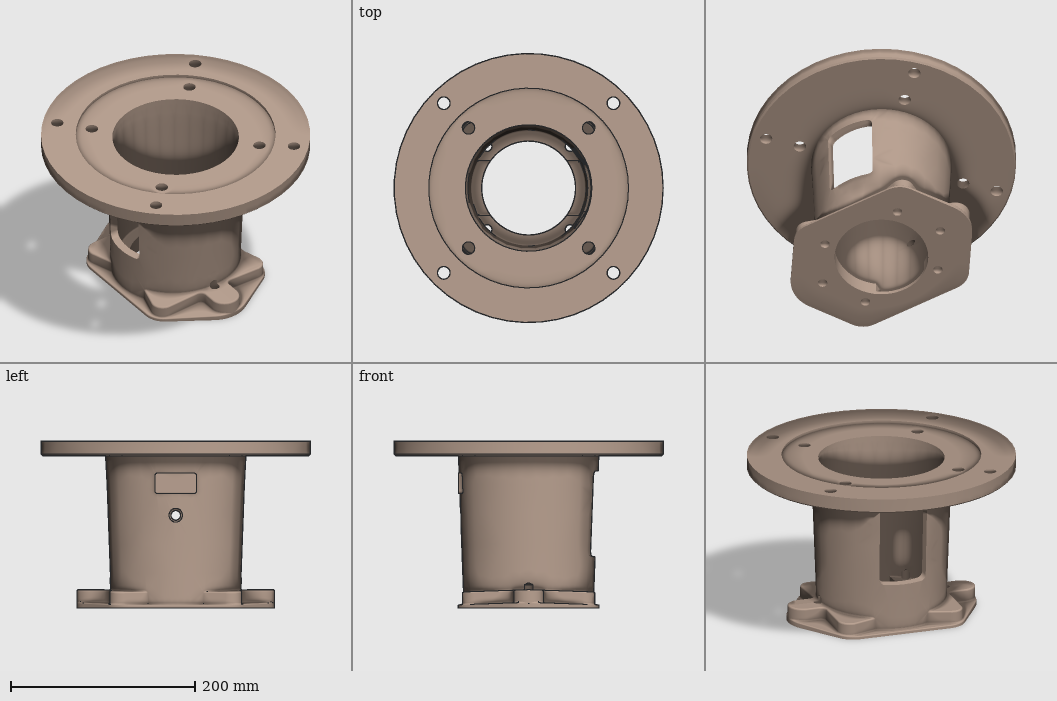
import cadquery as cq
import math

height = 181.0
flange_radius = 146.0
flange_thickness = 16.0
flange_chamfer = 1.8

recess_radius = 108.5
recess_depth = 3.5
flange_hole_radius = 6.7
inner_hole_offset = 65.0
outer_hole_offset = 92.0

tube_top_radius = 76.2
bore_top_radius = 68.5
taper = 0.037
base_bore_radius = 50.8

plate_ridge_height = 6.0
pad_ridge_height = 20.0
draft_slope = 0.035
plate_half_length = 107.2
plate_half_width = 76.5
ear_radius = 38.0
corner_radius = 25.0
corner_y = 51.5

pad_edge_y = 71.5
pad_inner_y = 29.8
pad_inner_x = 60.0
pad_side_end_y = 27.0
pad_corner_x = 58.7
pad_corner_radius = 13.0
pad_side_angle = math.radians(17)
finger_half_width = 16.0
finger_fillet = 6.0
pad_edge_fillet = 1.8
root_fillet = 1.5
plate_edge_fillet = 1.2
pad_foot_reach = 99.3

tap_radius = 5.1
tap_depth = 25.0
tap_tip_angle = 118
tap_tip = tap_radius / math.tan(math.radians(tap_tip_angle / 2))
tap_square_offset = 45.0
tap_axis_offset = 73.0

side_hole_z = 100.5
side_hole_radius = 5.1
side_hole_mouth_radius = 7.5
nameplate_x = -76.2
nameplate_width = 45.0
nameplate_bottom = 124.0
nameplate_height = 22.2
nameplate_corner = 2.5
nameplate_edge = 1.0
nameplate_depth = 8.8
window_width = 53.7
window_bottom = 56.0
window_top = 147.8
window_corner = 5.8
window_draft = 9.0
window_plane_x = 68.5
window_overlap = 14.5

tolerance = 0.03

flange_bottom = height - flange_thickness
recess_floor = height - recess_depth


def tube_radius(z):
    return tube_top_radius - taper * (flange_bottom - z)


def bore_radius(z):
    return bore_top_radius - taper * (recess_floor - z)


def cone(lower_z, upper_z, radius_at):
    """Solid of revolution about Z between two heights, with a straight side."""
    profile = [(0, lower_z), (radius_at(lower_z), lower_z), (radius_at(upper_z), upper_z), (0, upper_z)]
    return cq.Workplane("XZ").polyline(profile).close().revolve(360, (0, 0, 0), (0, 1, 0))


def drafted_plate(outline, ridge_height):
    """Extrude an outline and slope its upper face down on both sides of x = 0."""
    reach = flange_radius
    eave = ridge_height - draft_slope * reach
    roof = (
        cq.Workplane("XZ")
        .polyline([(-reach, 0), (reach, 0), (reach, eave), (0, ridge_height), (-reach, eave)])
        .close()
        .extrude(reach, both=True)
    )
    return outline.extrude(ridge_height).intersect(roof)


def plate_outline():
    """Hull of two ear circles on Y and four corner circles."""
    corner_x = plate_half_width - corner_radius
    ear_y = plate_half_length - ear_radius
    center_distance = math.hypot(corner_x, ear_y - corner_y)
    normal = math.acos((ear_radius - corner_radius) / center_distance) - math.atan2(ear_y - corner_y, corner_x)
    nx, ny = math.cos(normal), math.sin(normal)
    half = normal / 2

    ear_tangent = (ear_radius * nx, ear_y + ear_radius * ny)
    corner_tangent = (corner_x + corner_radius * nx, corner_y + corner_radius * ny)
    corner_middle = (corner_x + corner_radius * math.cos(half), corner_y + corner_radius * math.sin(half))

    def mirrored(point, x_sign, y_sign):
        return point[0] * x_sign, point[1] * y_sign

    side_end = (plate_half_width, corner_y)
    return (
        cq.Workplane("XY")
        .moveTo(*mirrored(side_end, 1, -1))
        .lineTo(*side_end)
        .threePointArc(corner_middle, corner_tangent)
        .lineTo(*ear_tangent)
        .threePointArc((0, plate_half_length), mirrored(ear_tangent, -1, 1))
        .lineTo(*mirrored(corner_tangent, -1, 1))
        .threePointArc(mirrored(corner_middle, -1, 1), mirrored(side_end, -1, 1))
        .lineTo(*mirrored(side_end, -1, -1))
        .threePointArc(mirrored(corner_middle, -1, -1), mirrored(corner_tangent, -1, -1))
        .lineTo(*mirrored(ear_tangent, -1, -1))
        .threePointArc((0, -plate_half_length), mirrored(ear_tangent, 1, -1))
        .lineTo(*mirrored(corner_tangent, 1, -1))
        .threePointArc(mirrored(corner_middle, 1, -1), mirrored(side_end, 1, -1))
        .close()
    )


def pad_outline():
    """Outline of the raised pad on the +Y side, with its finger along the ear."""
    center_y = pad_edge_y - pad_corner_radius
    side_x = pad_corner_x + pad_corner_radius * math.cos(pad_side_angle)
    side_y = center_y - pad_corner_radius * math.sin(pad_side_angle)
    side_end_x = side_x - (side_y - pad_side_end_y) * math.tan(pad_side_angle)
    middle_angle = (math.pi / 2 - pad_side_angle) / 2
    middle_x = pad_corner_x + pad_corner_radius * math.cos(middle_angle)
    middle_y = center_y + pad_corner_radius * math.sin(middle_angle)
    fillet_x = finger_half_width + finger_fillet
    fillet_y = pad_edge_y + finger_fillet
    fillet_mid_x = fillet_x - finger_fillet * math.sqrt(0.5)
    fillet_mid_y = fillet_y - finger_fillet * math.sqrt(0.5)
    finger_y = plate_half_length - finger_half_width
    return (
        cq.Workplane("XY")
        .moveTo(-pad_inner_x, pad_inner_y)
        .lineTo(pad_inner_x, pad_inner_y)
        .lineTo(side_end_x, pad_side_end_y)
        .lineTo(side_x, side_y)
        .threePointArc((middle_x, middle_y), (pad_corner_x, pad_edge_y))
        .lineTo(fillet_x, pad_edge_y)
        .threePointArc((fillet_mid_x, fillet_mid_y), (finger_half_width, fillet_y))
        .lineTo(finger_half_width, finger_y)
        .threePointArc((0, plate_half_length), (-finger_half_width, finger_y))
        .lineTo(-finger_half_width, fillet_y)
        .threePointArc((-fillet_mid_x, fillet_mid_y), (-fillet_x, pad_edge_y))
        .lineTo(-pad_corner_x, pad_edge_y)
        .threePointArc((-middle_x, middle_y), (-side_x, side_y))
        .lineTo(-side_end_x, pad_side_end_y)
        .close()
    )


def upper_rim(body, inner_y):
    """Edges around the sloped upper faces, beyond inner_y and without the ridge on x = 0."""
    rim = []
    for face in body.faces().vals():
        if face.normalAt().z < math.cos(math.radians(10)):
            continue
        for edge in face.Edges():
            on_ridge = abs(edge.startPoint().x) < tolerance and abs(edge.endPoint().x) < tolerance
            if not on_ridge and edge.Center().y > inner_y:
                rim.append(edge)
    return rim


def pad_foot(base):
    """Edges where the pads meet the plate, up to the rounded finger ends."""
    finger_y = plate_half_length - finger_half_width
    foot = []
    for edge in base.edges().vals():
        start, end, middle = edge.startPoint(), edge.endPoint(), edge.positionAt(0.5)
        on_plate = all(
            abs(p.z - plate_ridge_height + draft_slope * abs(p.x)) < tolerance for p in (start, end, middle)
        )
        beside_finger = max(abs(start.y), abs(end.y)) < finger_y + tolerance
        inside_rim = math.hypot(middle.x, middle.y) < pad_foot_reach
        on_pad = abs(middle.y) > pad_inner_y - tolerance
        if on_plate and beside_finger and inside_rim and on_pad:
            foot.append(edge)
    return foot


def pad_step(base):
    """Edges at the bottom of the straight inner side of each pad."""
    step = []
    for edge in base.edges().vals():
        start, end = edge.startPoint(), edge.endPoint()
        on_step = all(abs(abs(p.y) - pad_inner_y) < tolerance for p in (start, end))
        below_top = max(start.z, end.z) < plate_ridge_height + tolerance
        if on_step and below_top and min(start.z, end.z) > tolerance:
            step.append(edge)
    return step


def wall_foot(body, radius_at):
    """Edges where a tapered wall of the given radius meets the plate and the pads."""
    foot = []
    for edge in body.edges().vals():
        points = [edge.startPoint(), edge.endPoint(), edge.positionAt(0.5)]
        on_wall = all(abs(math.hypot(p.x, p.y) - radius_at(p.z)) < tolerance for p in points)
        if on_wall and max(p.z for p in points) < pad_ridge_height + tolerance:
            foot.append(edge)
    return foot


def tapped_hole(x, y):
    """Blind hole from below with a drill-point end."""
    drill = (
        cq.Workplane("XZ")
        .polyline([(0, 0), (tap_radius, 0), (tap_radius, tap_depth), (0, tap_depth + tap_tip)])
        .close()
        .revolve(360, (0, 0, 0), (0, 1, 0))
    )
    return drill.translate((x, y, 0))


def square_pattern(offset):
    return [(x * offset, y * offset) for x in (-1, 1) for y in (-1, 1)]


plate = drafted_plate(plate_outline(), plate_ridge_height)
plate = plate.newObject(upper_rim(plate, -plate_half_length)).fillet(plate_edge_fillet)
pad = drafted_plate(pad_outline(), pad_ridge_height)
pad = pad.newObject(upper_rim(pad, pad_inner_y + tolerance)).fillet(pad_edge_fillet)
base = plate.union(pad).union(pad.mirror("XZ"))

tube = cone(0, flange_bottom, tube_radius)
body = base.union(tube)
body = body.newObject(wall_foot(body, tube_radius) + pad_foot(body)).fillet(root_fillet)

flange = (
    cq.Workplane("XY", origin=(0, 0, flange_bottom))
    .circle(flange_radius)
    .extrude(flange_thickness)
    .faces("<Z")
    .edges()
    .chamfer(flange_chamfer)
)

nameplate = (
    cq.Workplane("YZ", origin=(nameplate_x, 0, nameplate_bottom + nameplate_height / 2))
    .rect(nameplate_width, nameplate_height)
    .extrude(nameplate_depth)
    .edges("|X")
    .fillet(nameplate_corner)
    .faces("<X")
    .edges()
    .fillet(nameplate_edge)
)
body = body.union(nameplate).union(flange)

floor = base.newObject(pad_step(base)).fillet(root_fillet)
bore = cone(0, height, bore_radius).cut(floor)
bore = bore.newObject(wall_foot(bore, bore_radius)).fillet(root_fillet)
base_bore = cq.Workplane("XY").circle(base_bore_radius).extrude(height)
recess = cq.Workplane("XY", origin=(0, 0, recess_floor)).circle(recess_radius).extrude(recess_depth)
body = body.cut(bore).cut(base_bore).cut(recess)

flange_holes = (
    cq.Workplane("XY", origin=(0, 0, flange_bottom))
    .pushPoints(square_pattern(inner_hole_offset) + square_pattern(outer_hole_offset))
    .circle(flange_hole_radius)
    .extrude(flange_thickness)
)
body = body.cut(flange_holes)

for x, y in square_pattern(tap_square_offset) + [(0, -tap_axis_offset), (0, tap_axis_offset)]:
    body = body.cut(tapped_hole(x, y))

side_hole_mouth_x = -tube_radius(side_hole_z)
side_hole = (
    cq.Workplane("XY")
    .polyline([
        (-flange_radius, 0),
        (-flange_radius, side_hole_mouth_radius),
        (side_hole_mouth_x, side_hole_mouth_radius),
        (side_hole_mouth_x + side_hole_mouth_radius - side_hole_radius, side_hole_radius),
        (0, side_hole_radius),
        (0, 0),
    ])
    .close()
    .revolve(360, (0, 0, 0), (1, 0, 0))
    .translate((0, 0, side_hole_z))
)

window_spread = 2 * window_overlap * math.tan(math.radians(window_draft))
window = (
    cq.Workplane("YZ", origin=(window_plane_x + window_overlap, 0, (window_bottom + window_top) / 2))
    .rect(window_width + window_spread, window_top - window_bottom + window_spread)
    .extrude(-2 * window_overlap, taper=window_draft)
    .edges("not(#X or |Y or |Z)")
    .fillet(window_corner)
)

result = body.cut(side_hole).cut(window)